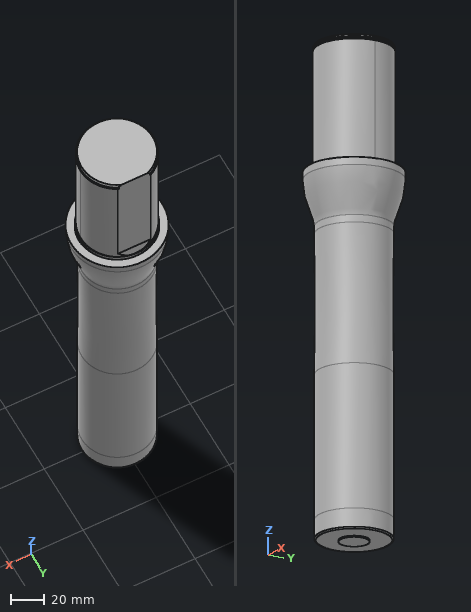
import cadquery as cq

TOTAL_HEIGHT = 315
FLANGE_TOP = 234.7

FLANGE_RADIUS = 62.5 / 2
FLANGE_BAND = 4.7
HANDLE_RADIUS = 48.5 / 2
FLARE_BOTTOM = 200.3
FLARE_TOP_PULL = 1.5
FLARE_FOOT_PULL = 0.7
WAIST_RADIUS = 47.5 / 2
WAIST_TOP = 195.5
WAIST_BOTTOM = 106.0
TAIL_TOP = 14.0
TAIL_RADIUS = HANDLE_RADIUS - 0.15
TAIL_CHAMFER = 1.0
BUTTON_RADIUS = 9.5
BUTTON_HEIGHT = 1.0
SEAT_RADIUS = 51.5 / 2
SEAT_DEPTH = 1.5

BARREL_RADIUS = 50.0 / 2
NECK_RADIUS = 49.5 / 2
DRUM_BOTTOM = FLANGE_TOP + 2.0
TOP_CHAMFER = 1.0
TOP_CHAMFER_HEIGHT = 1.5
GROOVE_TOP = TOTAL_HEIGHT - 2.2
GROOVE_HEIGHT = 1.0
FLAT_Y = 22.5
RAMP_HEIGHT = 3.8


def make_handle():
    """Revolve the handle with its flange, flare, waist, tail and button, then sink the seat."""
    rim_bottom = FLANGE_TOP - FLANGE_BAND
    flare_drop = rim_bottom - FLARE_BOTTOM
    flare_poles = [
        (FLANGE_RADIUS, rim_bottom),
        (FLANGE_RADIUS, rim_bottom - FLARE_TOP_PULL * flare_drop / 3),
        (HANDLE_RADIUS, FLARE_BOTTOM + FLARE_FOOT_PULL * flare_drop / 3),
        (HANDLE_RADIUS, FLARE_BOTTOM),
    ]
    waist_middle = (WAIST_RADIUS, (WAIST_TOP + WAIST_BOTTOM) / 2)
    tail_middle = (HANDLE_RADIUS, TAIL_TOP / 2)
    tail_foot = BUTTON_HEIGHT + TAIL_CHAMFER
    body = (
        cq.Workplane("XZ")
        .moveTo(0, FLANGE_TOP)
        .lineTo(FLANGE_RADIUS, FLANGE_TOP)
        .lineTo(FLANGE_RADIUS, rim_bottom)
        .bezier(flare_poles)
        .lineTo(HANDLE_RADIUS, WAIST_TOP)
        .threePointArc(waist_middle, (HANDLE_RADIUS, WAIST_BOTTOM))
        .lineTo(HANDLE_RADIUS, TAIL_TOP)
        .threePointArc(tail_middle, (TAIL_RADIUS, tail_foot))
        .lineTo(TAIL_RADIUS - TAIL_CHAMFER, BUTTON_HEIGHT)
        .lineTo(BUTTON_RADIUS, BUTTON_HEIGHT)
        .lineTo(BUTTON_RADIUS, 0)
        .lineTo(0, 0)
        .close()
        .revolve(360, (0, 0, 0), (0, 1, 0))
    )
    seat = (
        cq.Workplane("XY", origin=(0, 0, FLANGE_TOP - SEAT_DEPTH))
        .circle(SEAT_RADIUS)
        .extrude(SEAT_DEPTH)
    )
    return body.cut(seat)


def make_barrel():
    """Revolve the barrel with its neck, rim groove and top chamfer, then cut the ramped flat."""
    groove_bottom = GROOVE_TOP - GROOVE_HEIGHT
    neck_bottom = FLANGE_TOP - SEAT_DEPTH
    body = (
        cq.Workplane("XZ")
        .moveTo(0, neck_bottom)
        .lineTo(NECK_RADIUS, neck_bottom)
        .lineTo(NECK_RADIUS, DRUM_BOTTOM)
        .lineTo(BARREL_RADIUS, DRUM_BOTTOM)
        .lineTo(BARREL_RADIUS, groove_bottom)
        .lineTo(NECK_RADIUS, groove_bottom)
        .lineTo(NECK_RADIUS, GROOVE_TOP)
        .lineTo(BARREL_RADIUS, GROOVE_TOP)
        .lineTo(BARREL_RADIUS, TOTAL_HEIGHT - TOP_CHAMFER_HEIGHT)
        .lineTo(BARREL_RADIUS - TOP_CHAMFER, TOTAL_HEIGHT)
        .lineTo(0, TOTAL_HEIGHT)
        .close()
        .revolve(360, (0, 0, 0), (0, 1, 0))
    )
    flat_cut = (
        cq.Workplane("YZ")
        .moveTo(FLAT_Y, TOTAL_HEIGHT)
        .lineTo(FLAT_Y, DRUM_BOTTOM + RAMP_HEIGHT)
        .lineTo(BARREL_RADIUS, DRUM_BOTTOM)
        .lineTo(BARREL_RADIUS, TOTAL_HEIGHT)
        .close()
        .extrude(BARREL_RADIUS, both=True)
    )
    return body.cut(flat_cut)


handle = make_handle()
barrel = make_barrel()
result = cq.Compound.makeCompound([handle.val(), barrel.val()])